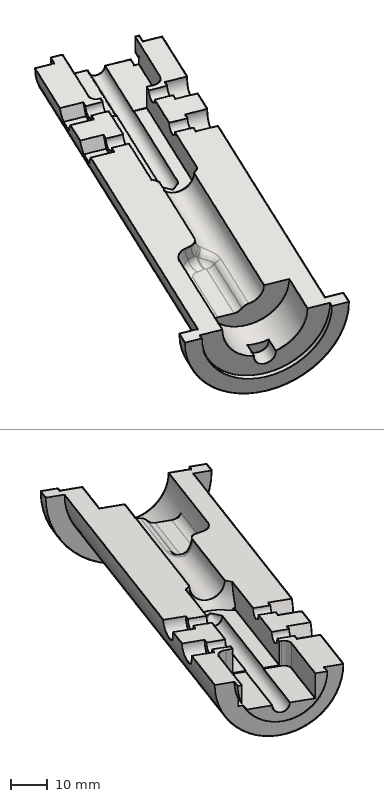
import cadquery as cq
import math

SPLIT_Z = 0.03
TOTAL_LENGTH = 127.49
BODY_RADIUS = 18.6
SPIGOT_RADIUS = 12.95
SPIGOT_LENGTH = 2.7
FLANGE_RADIUS = 24.0
FLANGE_THICKNESS = 4.2

BORE_RADIUS = 5.1
MOUTH_RADIUS = 12.45
MOUTH_START_X = 112.4
RECESS_RADIUS = 19.0
RECESS_DEPTH = 1.5

POCKET_LENGTH = 21.3
POCKET_Y_MIN = -9.45
POCKET_Y_MAX = 11.75
POCKET_FLOOR_Z = -7.6
POCKET_RADIUS_LOW_Y = 2.1
POCKET_RADIUS_HIGH_Y = 3.0
CHANNEL_WIDTH = 13.45
CHANNEL_FLOOR_Z = -7.3
LEAD_IN_END_X = 60.5
LEAD_IN_RADIUS = 9.2
LEAD_IN_LENGTH = LEAD_IN_RADIUS - BORE_RADIUS
CHANNEL_END_X = LEAD_IN_END_X - LEAD_IN_LENGTH

GROOVE_DIAMETER = 5.1
GROOVE_LENGTH = 54.4
GROOVE_Y = 0.4
GROOVE_Z = POCKET_FLOOR_Z

BOLT_X = (25.1, 40.1)
BOLT_DIAMETER = 4.3
BOLT_HEAD_DIAMETER = 7.8
BOLT_HEAD_SEAT_Y = 12.1
NUT_ACROSS_CORNERS = 7.9
NUT_SEAT_Y = -11.75

PIN_DIAMETER = 6.3
PIN_START_X = 120.8

SLOT_FLOOR_Z = -7.2
SLOT_SIDE_Y = -0.7
SLOT_END_X = 87.4
SLOT_END_SLANT = 0.3
SLOT_FLOOR_FILLET = 3.0
SLOT_INNER_CORNER_RADIUS = 3.3
SLOT_OUTER_CORNER_RADIUS = 4.5
SLOT_BORE_FILLET = 3.0

BORE_END_CLEARANCE = 1.0
RADIUS_TOLERANCE = 0.01


def rod(radius, x_start, x_end, y=0.0, z=0.0):
    """Cylinder along X."""
    return cq.Workplane("YZ", origin=(x_start, y, z)).circle(radius).extrude(x_end - x_start)


def block(x_min, x_max, y_min, y_max, z_min, z_max):
    size = (x_max - x_min, y_max - y_min, z_max - z_min)
    return cq.Workplane("XY").box(*size, centered=False).translate((x_min, y_min, z_min))


def cone(radius_start, radius_end, x_start, length, y=0.0, z=0.0):
    """Cone along X."""
    solid = cq.Solid.makeCone(
        radius_start, radius_end, length, cq.Vector(x_start, y, z), cq.Vector(1, 0, 0)
    )
    return cq.Workplane(obj=solid)


def outer_body():
    flange_start = TOTAL_LENGTH - FLANGE_THICKNESS
    body = rod(SPIGOT_RADIUS, 0, flange_start)
    body = body.union(rod(BODY_RADIUS, SPIGOT_LENGTH, flange_start))
    body = body.union(rod(FLANGE_RADIUS, flange_start, TOTAL_LENGTH))
    lower_half = block(0, TOTAL_LENGTH, -FLANGE_RADIUS, FLANGE_RADIUS, -FLANGE_RADIUS, SPLIT_Z)
    return body.intersect(lower_half)


def side_slot():
    """Slot inside the mouth radius, with a slanted end wall and rounded corners."""
    x_end = MOUTH_START_X
    outer_corner_search = 3.0
    floor_clearance = 0.5
    y_far = -FLANGE_RADIUS
    x_far = SLOT_END_X + SLOT_END_SLANT * (SLOT_SIDE_Y - y_far)
    outline = [(x_end, SLOT_SIDE_Y), (SLOT_END_X, SLOT_SIDE_Y), (x_far, y_far), (x_end, y_far)]
    slot = (
        cq.Workplane("XY", origin=(0, 0, SLOT_FLOOR_Z))
        .polyline(outline)
        .close()
        .extrude(-SLOT_FLOOR_Z + SPLIT_Z)
    )
    slot = slot.edges("|Z and <X").fillet(SLOT_INNER_CORNER_RADIUS)
    slot = slot.intersect(rod(MOUTH_RADIUS, 0, TOTAL_LENGTH))
    corner = cq.selectors.BoxSelector(
        (SLOT_END_X, y_far, SLOT_FLOOR_Z + floor_clearance),
        (x_far, -MOUTH_RADIUS + outer_corner_search, SPLIT_Z),
    )
    slot = slot.edges(corner).fillet(SLOT_OUTER_CORNER_RADIUS)
    floor_edges = slot.faces("<Z").edges("not >X")
    return floor_edges.fillet(SLOT_FLOOR_FILLET)


def lies_on_bore(edge):
    middle = edge.positionAt(0.5)
    return abs(math.hypot(middle.y, middle.z) - BORE_RADIUS) < RADIUS_TOLERANCE


def cut_bore_and_slot(body):
    """Axial bore joined by the side slot along rounded edges."""
    body = body.cut(rod(BORE_RADIUS, CHANNEL_END_X, MOUTH_START_X))
    body = body.cut(side_slot())
    slot_region = cq.selectors.BoxSelector(
        (SLOT_END_X, -BODY_RADIUS, -BODY_RADIUS), (MOUTH_START_X - BORE_END_CLEARANCE, 0, SPLIT_Z)
    )
    candidates = body.edges(slot_region).vals()
    rim = [edge for edge in candidates if lies_on_bore(edge)]
    return body.newObject(rim).fillet(SLOT_BORE_FILLET)


def cut_mouth(body):
    recess_start = TOTAL_LENGTH - RECESS_DEPTH
    body = body.cut(rod(MOUTH_RADIUS, MOUTH_START_X, TOTAL_LENGTH))
    body = body.cut(rod(RECESS_RADIUS, recess_start, TOTAL_LENGTH))
    return body.cut(rod(PIN_DIAMETER / 2, PIN_START_X, TOTAL_LENGTH, z=-MOUTH_RADIUS))


def cut_pocket_and_channel(body):
    pocket = block(0, POCKET_LENGTH, POCKET_Y_MIN, POCKET_Y_MAX, POCKET_FLOOR_Z, SPLIT_Z)
    pocket = pocket.edges("|Z and >X and <Y").fillet(POCKET_RADIUS_LOW_Y)
    pocket = pocket.edges("|Z and >X and >Y").fillet(POCKET_RADIUS_HIGH_Y)

    half_width = CHANNEL_WIDTH / 2
    lead_in_limits = block(CHANNEL_END_X, LEAD_IN_END_X, -half_width, half_width, CHANNEL_FLOOR_Z, SPLIT_Z)
    lead_in = cone(LEAD_IN_RADIUS, BORE_RADIUS, CHANNEL_END_X, LEAD_IN_LENGTH)
    channel = block(0, CHANNEL_END_X, -half_width, half_width, CHANNEL_FLOOR_Z, SPLIT_Z)
    return body.cut(pocket).cut(channel).cut(lead_in_limits.intersect(lead_in))


def cut_groove(body):
    radius = GROOVE_DIAMETER / 2
    body = body.cut(rod(radius, 0, GROOVE_LENGTH, GROOVE_Y, GROOVE_Z))
    return body.cut(cone(radius, 0, GROOVE_LENGTH, radius, GROOVE_Y, GROOVE_Z))


def cut_cross_bolts(body):
    for x in BOLT_X:
        axis = cq.Workplane("XZ", origin=(x, 0, 0))
        shank = axis.circle(BOLT_DIAMETER / 2).extrude(BODY_RADIUS, both=True)
        head_plane = axis.workplane(offset=-BODY_RADIUS)
        head = head_plane.circle(BOLT_HEAD_DIAMETER / 2).extrude(BODY_RADIUS - BOLT_HEAD_SEAT_Y)
        nut_plane = axis.workplane(offset=-NUT_SEAT_Y)
        nut = nut_plane.polygon(6, NUT_ACROSS_CORNERS).extrude(BODY_RADIUS + NUT_SEAT_Y)
        body = body.cut(shank).cut(head).cut(nut)
    return body


result = outer_body()
result = cut_bore_and_slot(result)
result = cut_mouth(result)
result = cut_pocket_and_channel(result)
result = cut_groove(result)
result = cut_cross_bolts(result)